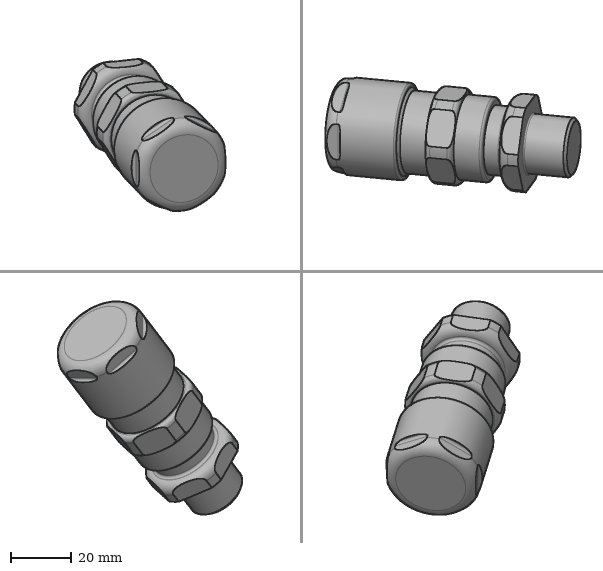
import cadquery as cq
import math


OVERALL_LENGTH = 82
OUTER_RADIUS = 32.5 / 2
ACROSS_FLATS = 30.0
FLAT_COUNT = 6
FLAT_PITCH = 360 / FLAT_COUNT
CUT_CLEARANCE = 0.8

ENTRY_HEX_START = 14.8
ENTRY_HEX_END = 22.05
COLLAR_START = 27.8
MIDDLE_HEX_START = 37.4
MIDDLE_HEX_END = 47.05
FLARE_START = 55.9
CAP_START = 56.9
CAP_FLAT_START = 75.9

THREAD_RADIUS = 20.0 / 2
THREAD_CHAMFER = 1.0
THREAD_CHAMFER_LENGTH = 1.0
THREAD_ROOT_FILLET = 0.5
NECK_RADIUS = 23.3 / 2
HEX_FOOT_RADIUS = 25.4 / 2
ENTRY_HEX_ROUNDING = OUTER_RADIUS - HEX_FOOT_RADIUS
NECK_FILLET = 1.0

COLLAR_RADIUS = 28.5 / 2
COLLAR_ROUNDING = 1.0
MIDDLE_HEX_ROUNDING = 1.9
SLEEVE_RADIUS = 27.7 / 2

CAP_EDGE_ROUNDING = 0.7
CAP_END_ROUNDING = 4.4
CAP_FLAT_FILLET = 1.0


def bend(start, end, center, radius):
    """Midpoint of the short arc of the given radius from start to end around center."""
    dx = (start[0] + end[0]) / 2 - center[0]
    dy = (start[1] + end[1]) / 2 - center[1]
    reach = radius / math.hypot(dx, dy)
    return (center[0] + dx * reach, center[1] + dy * reach)


def quarter_arc(profile, start, end, center):
    """Continue the profile, which has reached start, with a quarter round to end."""
    radius = math.dist(start, center)
    return profile.threePointArc(bend(start, end, center, radius), end)


def round_rising(profile, x, radius, rounding):
    """Climb a face at x and round over onto the given radius, heading to +X."""
    start = (x, radius - rounding)
    center = (x + rounding, radius - rounding)
    return quarter_arc(profile.lineTo(*start), start, (x + rounding, radius), center)


def round_falling(profile, x, radius, rounding):
    """Run along the given radius and round over down onto a face at x."""
    start = (x - rounding, radius)
    center = (x - rounding, radius - rounding)
    return quarter_arc(profile.lineTo(*start), start, (x, radius - rounding), center)


def revolve_profile(profile, end_x):
    """Close the profile down to the X axis at end_x and turn it about that axis."""
    return profile.lineTo(end_x, 0).close().revolve(360, (0, 0, 0), (1, 0, 0))


def cut_flats(body, start, end, first_angle, fillet=0):
    """Cut the flats between two X positions, with an optional fillet at the start wall."""
    apothem = ACROSS_FLATS / 2
    beyond = OUTER_RADIUS + CUT_CLEARANCE
    profile = cq.Workplane("XZ").moveTo(end, apothem).lineTo(end, beyond).lineTo(start, beyond)
    if fillet:
        wall_foot = (start, apothem + fillet)
        center = (start + fillet, apothem + fillet)
        profile = quarter_arc(profile.lineTo(*wall_foot), wall_foot, (start + fillet, apothem), center)
    else:
        profile = profile.lineTo(start, apothem)
    cutter = profile.close().extrude(OUTER_RADIUS / 2, both=True)
    for index in range(FLAT_COUNT):
        angle = first_angle + index * FLAT_PITCH
        body = body.cut(cutter.rotate((0, 0, 0), (1, 0, 0), angle))
    return body


def make_entry_body():
    """Chamfered threaded stub, hexagon with a rounded rear edge, and neck."""
    profile = (
        cq.Workplane("XY")
        .lineTo(0, THREAD_RADIUS - THREAD_CHAMFER)
        .lineTo(THREAD_CHAMFER_LENGTH, THREAD_RADIUS)
    )
    root_x = ENTRY_HEX_START - THREAD_ROOT_FILLET
    root_radius = THREAD_RADIUS + THREAD_ROOT_FILLET
    thread_end = (root_x, THREAD_RADIUS)
    profile = quarter_arc(profile.lineTo(*thread_end), thread_end, (ENTRY_HEX_START, root_radius),
                          (root_x, root_radius))
    profile = profile.lineTo(ENTRY_HEX_START, OUTER_RADIUS)
    profile = round_falling(profile, ENTRY_HEX_END, OUTER_RADIUS, ENTRY_HEX_ROUNDING)
    neck_start = ENTRY_HEX_END + NECK_FILLET
    fillet_top = (ENTRY_HEX_END, NECK_RADIUS + NECK_FILLET)
    profile = quarter_arc(profile.lineTo(*fillet_top), fillet_top, (neck_start, NECK_RADIUS),
                          (neck_start, NECK_RADIUS + NECK_FILLET))
    profile = profile.lineTo(COLLAR_START, NECK_RADIUS)
    body = revolve_profile(profile, COLLAR_START)
    return cut_flats(body, ENTRY_HEX_START, ENTRY_HEX_END, 0)


def make_middle_body():
    """Collar, hexagon with both edges rounded, and sleeve flaring out at the cap."""
    profile = cq.Workplane("XY").moveTo(COLLAR_START, 0)
    profile = round_rising(profile, COLLAR_START, COLLAR_RADIUS, COLLAR_ROUNDING)
    profile = profile.lineTo(MIDDLE_HEX_START, COLLAR_RADIUS)
    profile = round_rising(profile, MIDDLE_HEX_START, OUTER_RADIUS, MIDDLE_HEX_ROUNDING)
    profile = round_falling(profile, MIDDLE_HEX_END, OUTER_RADIUS, MIDDLE_HEX_ROUNDING)
    flare_height = CAP_START - FLARE_START
    profile = (
        profile.lineTo(MIDDLE_HEX_END, SLEEVE_RADIUS)
        .lineTo(FLARE_START, SLEEVE_RADIUS)
        .lineTo(CAP_START, SLEEVE_RADIUS + flare_height)
    )
    body = revolve_profile(profile, CAP_START)
    return cut_flats(body, MIDDLE_HEX_START, MIDDLE_HEX_END, 0)


def make_cap():
    """Round cap with a domed rim and spanner flats turned half a pitch from the hexagons."""
    profile = cq.Workplane("XY").moveTo(CAP_START, 0)
    profile = round_rising(profile, CAP_START, OUTER_RADIUS, CAP_EDGE_ROUNDING)
    profile = round_falling(profile, OVERALL_LENGTH, OUTER_RADIUS, CAP_END_ROUNDING)
    body = revolve_profile(profile, OVERALL_LENGTH)
    return cut_flats(body, CAP_FLAT_START, OVERALL_LENGTH, FLAT_PITCH / 2, CAP_FLAT_FILLET)


entry_body = make_entry_body()
middle_body = make_middle_body()
cap = make_cap()

result = cq.Compound.makeCompound([entry_body.val(), middle_body.val(), cap.val()])